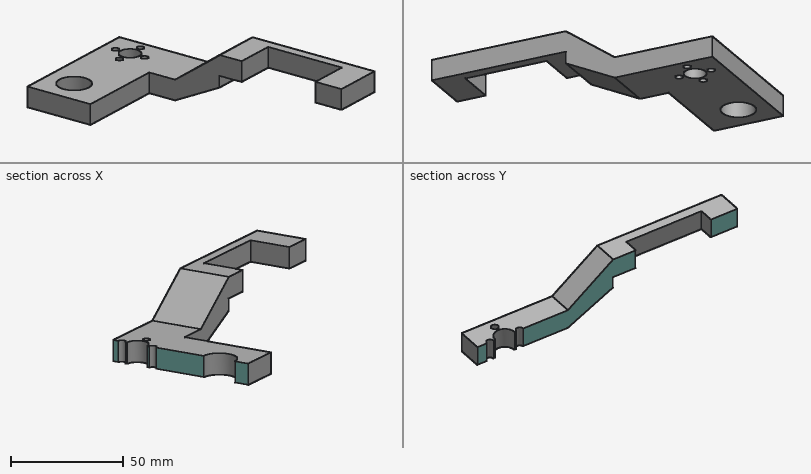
import cadquery as cq

length = 140.0
depth = 70.0
height = 28.0
thickness = 10.1

plate_width = 34.6
arm_width = 25.2
arm_front = depth - arm_width

ramp_start = 48.7
ramp_end = 73.1
ramp_lower_end_height = 12.2

notch_start = 85.3
notch_end = 125.7
notch_wall = 5.0

hole_x = 14.8
large_hole_y = 15.0
large_hole_diameter = 16.0
center_hole_y = 57.5
center_hole_diameter = 10.2
bolt_hole_diameter = 3.5
bolt_circle_radius = 8.0
bolt_count = 4


def make_plate():
    """Lower plate, full depth, with its front left corner at the origin."""
    return cq.Workplane("XY").box(plate_width, depth, thickness, centered=False)


def make_arm():
    """Stepped side profile extruded across the arm width."""
    profile = [
        (0, 0),
        (ramp_start, 0),
        (ramp_end, ramp_lower_end_height),
        (ramp_end, height - thickness),
        (length, height - thickness),
        (length, height),
        (ramp_end, height),
        (ramp_start, thickness),
        (0, thickness),
    ]
    return cq.Workplane("XZ", origin=(0, depth, 0)).polyline(profile).close().extrude(arm_width)


def make_notch():
    """Cutter for the notch, leaving a thin wall along the back."""
    return cq.Workplane("XY").box(
        notch_end - notch_start, arm_width - notch_wall, height, centered=False
    ).translate((notch_start, arm_front, 0))


def make_holes():
    """Cutters for the large hole, the center hole and its bolt circle."""
    large = cq.Workplane("XY").center(hole_x, large_hole_y).circle(large_hole_diameter / 2)
    center = cq.Workplane("XY").center(hole_x, center_hole_y).circle(center_hole_diameter / 2)
    bolts = (
        cq.Workplane("XY")
        .center(hole_x, center_hole_y)
        .polarArray(bolt_circle_radius, 0, 360, bolt_count)
        .circle(bolt_hole_diameter / 2)
    )
    return [outline.extrude(thickness) for outline in (large, center, bolts)]


result = make_plate().union(make_arm()).cut(make_notch())
for cutter in make_holes():
    result = result.cut(cutter)